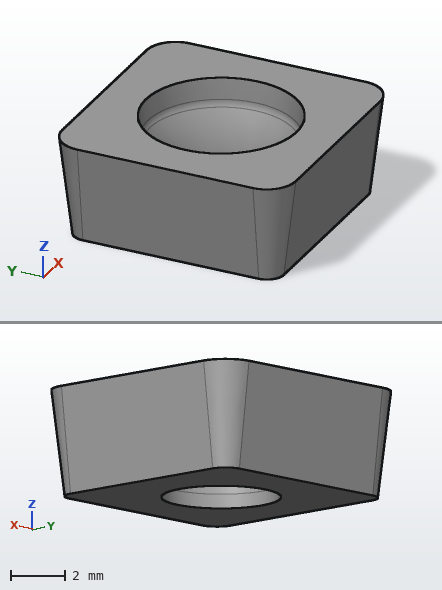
import cadquery as cq
import math

top_side = 9.53
thickness = 3.97
relief_angle = 7.0
corner_radius = 1.18

hole_diameter = 4.4
recess_diameter = 6.14
recess_floor_diameter = 5.985
seat_diameter = 5.81
recess_wall_depth = 0.86
lip_depth = 0.28
seat_radius = 4.13


def make_body():
    """Square plate with rounded corners, narrowing towards the bottom."""
    return (
        cq.Workplane("XY")
        .workplane(offset=thickness)
        .sketch()
        .rect(top_side, top_side)
        .vertices()
        .fillet(corner_radius)
        .finalize()
        .extrude(-thickness, taper=relief_angle)
    )


def make_screw_hole():
    """Revolved cutter: slightly conical recess, rounded lip, bowl seat and through hole."""
    hole_r = hole_diameter / 2
    recess_r = recess_diameter / 2
    recess_floor_r = recess_floor_diameter / 2
    seat_r = seat_diameter / 2
    wall_end = thickness - recess_wall_depth
    seat_top = wall_end - lip_depth
    arc_center_r = hole_r + seat_radius
    seat_bottom = seat_top - math.sqrt(seat_radius**2 - (arc_center_r - seat_r) ** 2)
    return (
        cq.Workplane("XZ")
        .lineTo(hole_r, 0)
        .lineTo(hole_r, seat_bottom)
        .radiusArc((seat_r, seat_top), seat_radius)
        .tangentArcPoint((recess_floor_r, wall_end), relative=False)
        .lineTo(recess_r, thickness)
        .lineTo(0, thickness)
        .close()
        .revolve(360, (0, 0, 0), (0, 1, 0))
    )


result = make_body().cut(make_screw_hole())